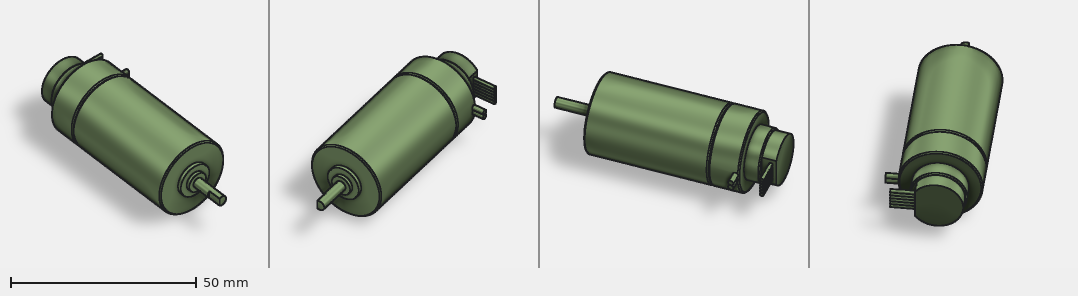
import cadquery as cq

encoder_shoulder_x = 4.15
body_start_x = 8.6
seam_x = 17.6
body_end_x = 53.65
flange_end_x = 54.8
pilot_end_x = 55.9
shaft_flat_x = 61.75
shaft_end_x = 65.9

cap_diameter = 14.5
encoder_diameter = 15.55
body_diameter = 23.0
overall_width = 26.5
flange_diameter = 10.2
pilot_diameter = 6.0
shaft_diameter = 3.0

body_chamfer = 0.4
encoder_chamfer = 0.4
seam_half_width = 0.45
seam_depth = 0.3
cap_flat_y = 5.85
shaft_flat_y = -0.85

signal_wire_count = 6
signal_wire_diameter = 1.05
signal_wire_overlap = 0.02
signal_wire_pitch = signal_wire_diameter - signal_wire_overlap
signal_wire_x = 1.6
signal_wire_tip_y = 12.8
power_wire_count = 2
power_wire_diameter = 1.6
power_wire_overlap = 0.03
power_wire_pitch = power_wire_diameter - power_wire_overlap
power_wire_x = 9.7
power_wire_tip_y = overall_width - body_diameter / 2
wire_embed = 1.3


def cylinder(start_x, end_x, diameter):
    return cq.Workplane("YZ", origin=(start_x, 0, 0)).circle(diameter / 2).extrude(end_x - start_x)


def flat_cut(start_x, end_x, flat_y, diameter):
    """Block removing all material beyond flat_y, on the side where flat_y lies."""
    outer_y = diameter if flat_y > 0 else -diameter
    return (
        cq.Workplane("XY", origin=(0, 0, -diameter))
        .moveTo(start_x, flat_y)
        .lineTo(end_x, flat_y)
        .lineTo(end_x, outer_y)
        .lineTo(start_x, outer_y)
        .close()
        .extrude(2 * diameter)
    )


def wire_row(count, pitch, diameter, x, root_y, tip_y):
    """Row of parallel wires running along +Y, stacked in Z about the motor axis."""
    row = cq.Workplane("XY")
    for index in range(count):
        z = (index - (count - 1) / 2) * pitch
        wire = cq.Workplane("XZ", origin=(x, root_y, z)).circle(diameter / 2).extrude(root_y - tip_y)
        row = row.union(wire)
    return row


cap = cylinder(0, encoder_shoulder_x, cap_diameter)
cap = cap.cut(flat_cut(0, encoder_shoulder_x, cap_flat_y, cap_diameter))
encoder = cylinder(encoder_shoulder_x, body_start_x, encoder_diameter)
encoder = encoder.faces("<X").chamfer(encoder_chamfer)

body_radius = body_diameter / 2
body = cylinder(body_start_x, body_end_x, body_diameter).faces("<X or >X").chamfer(body_chamfer)
seam = (
    cq.Workplane("XY")
    .moveTo(seam_x - seam_half_width, body_radius)
    .lineTo(seam_x, body_radius - seam_depth)
    .lineTo(seam_x + seam_half_width, body_radius)
    .close()
    .revolve(360, (0, 0, 0), (1, 0, 0))
)
body = body.cut(seam)

flange = cylinder(body_end_x, flange_end_x, flange_diameter)
pilot = cylinder(flange_end_x, pilot_end_x, pilot_diameter)
shaft = cylinder(pilot_end_x, shaft_end_x, shaft_diameter)
shaft = shaft.cut(flat_cut(shaft_flat_x, shaft_end_x, shaft_flat_y, shaft_diameter))

signal_wires = wire_row(signal_wire_count, signal_wire_pitch, signal_wire_diameter,
                        signal_wire_x, cap_flat_y - wire_embed, signal_wire_tip_y)
power_wires = wire_row(power_wire_count, power_wire_pitch, power_wire_diameter,
                       power_wire_x, body_radius - wire_embed, power_wire_tip_y)

result = cap
for section in (encoder, body, flange, pilot, shaft, signal_wires, power_wires):
    result = result.union(section)